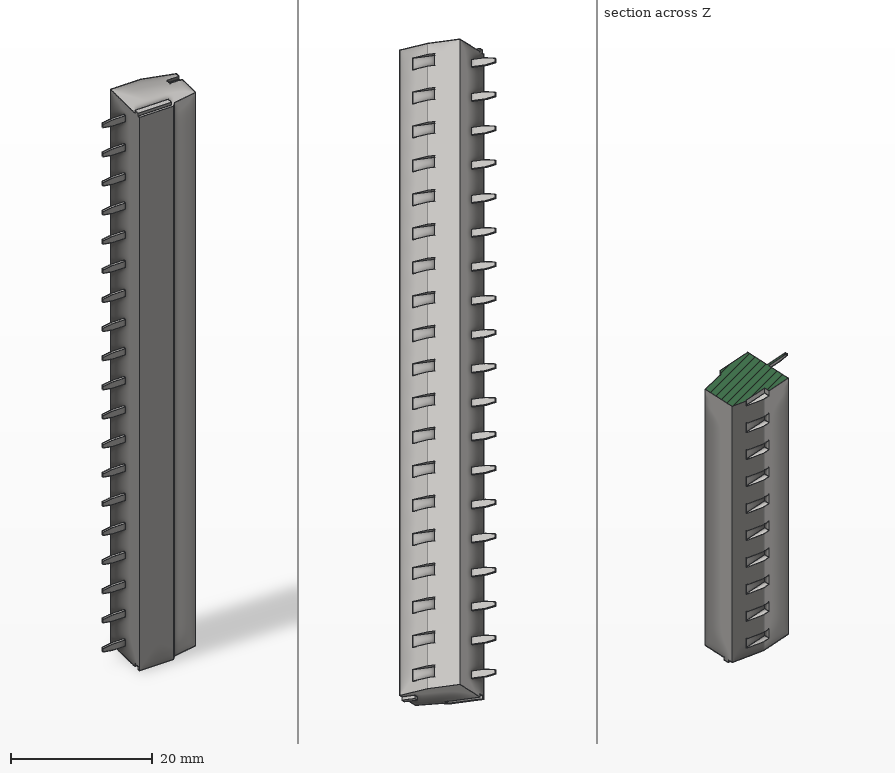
import cadquery as cq

poles = 19
body_width = 8.1
body_depth = 10.0
body_height = 95.0
overall_height = 96.0
pitch = body_height / poles

top_left = 1.3
top_right = 6.7
left_slope_drop = 5.0
right_slope_drop = 3.8
right_slope_x = 7.4
right_shoulder_drop = 4.4

window_start = 2.3
window_length = 3.7
window_height = 1.7
window_depth = 0.9

pin_length = 3.6
pin_shank_length = 2.2
pin_height = 1.1
pin_tip_height = 0.6
pin_thickness = 0.4
pin_embed = 0.5

ridge_x = 6.8
ridge_width = 0.9
ridge_length = 5.5
ridge_rise = 0.5
groove_depth = ridge_rise

key_x = 2.1
key_width = 0.9
key_length = 2.0
key_drop = overall_height - body_height - ridge_rise
slot_depth = key_drop


def box(x, y, z, width, depth, height):
    """Box given by its lowest corner and its sizes along X, Y and Z."""
    return cq.Workplane("XY").box(width, depth, height, centered=False).translate((x, y, z))


def housing():
    """Prism along Z with sloped sides towards the +Y face."""
    outline = [
        (0, 0),
        (body_width, 0),
        (body_width, body_depth - right_shoulder_drop),
        (right_slope_x, body_depth - right_slope_drop),
        (top_right, body_depth),
        (top_left, body_depth),
        (0, body_depth - left_slope_drop),
    ]
    return cq.Workplane("XY").polyline(outline).close().extrude(body_height)


def window(z):
    """Cutter for one wire window with a flat floor, centred at height z."""
    y = body_depth - window_start - window_length
    return box(0, y, z - window_height / 2, window_depth, window_length, window_height)


def pin(z):
    """Flat pin with a tapered tip, centred at height z."""
    half = pin_height / 2
    half_tip = pin_tip_height / 2
    outline = [
        (pin_embed, z - half),
        (pin_embed, z + half),
        (-pin_shank_length, z + half),
        (-pin_length, z + half_tip),
        (-pin_length, z - half_tip),
        (-pin_shank_length, z - half),
    ]
    blade = cq.Workplane("YZ").polyline(outline).close().extrude(pin_thickness / 2, both=True)
    return blade.translate((body_width / 2, 0, 0))


def ridge(z, height):
    """Long bar along the -Y part of an end face, also the cutter for its groove."""
    return box(ridge_x, 0, z, ridge_width, ridge_length, height)


def key(z, height):
    """Short bar at the +Y edge of an end face, also the cutter for its slot."""
    return box(key_x, body_depth - key_length, z, key_width, key_length, height)


result = housing()
for pole in range(poles):
    pole_z = pitch / 2 + pole * pitch
    result = result.cut(window(pole_z)).union(pin(pole_z))

result = result.union(ridge(body_height, ridge_rise)).cut(ridge(0, groove_depth))
result = result.union(key(-key_drop, key_drop)).cut(key(body_height - slot_depth, slot_depth))